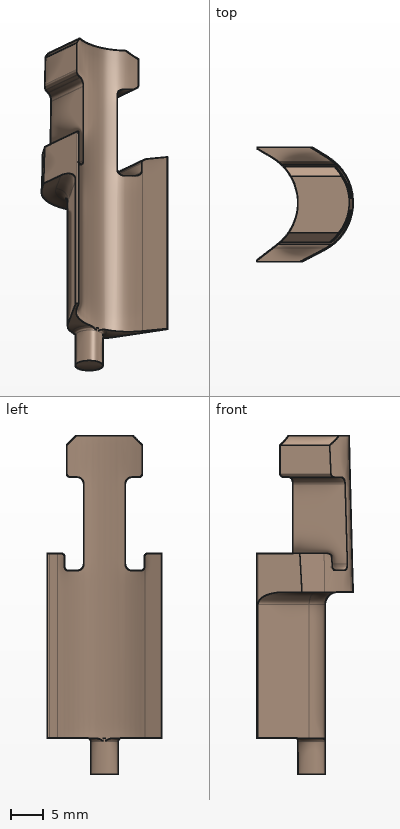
import cadquery as cq
import math

BODY_BOTTOM = 5.5
LEDGE_BOTTOM = 27.65
NOTCH_FLOOR = 30.95
SHOULDER_TOP = 33.55
HEAD_BOTTOM = 45.1
PART_TOP = 51.42

PART_WIDTH = 17.4
STEM_WIDTH = 6.35
NOTCH_OUTER_WIDTH = 12.1
HEAD_WIDTH = 11.5
HEAD_CHAMFER = 1.45

STEM_FILLET = 1.0
CORNER_RADIUS = 0.55

INNER_WALL = {"apex_x": 6.26, "center_y": 0.25, "radius": 8.0, "angle_pos": 59.6, "angle_neg": 52.5}
UPPER_WALL = {"apex_x": 14.68, "center_y": 0.3, "radius": 8.15, "angle_pos": 58.5, "angle_neg": 62.5}
LOWER_WALL = {"apex_x": 10.45, "center_y": 0.1, "radius": 5.0, "angle_pos": 60.0, "angle_neg": 60.0}
UPPER_DRAFT = 1.45
LEDGE_FILLET = 1.85
TIP_RADIUS = 0.15

PIN_DIAMETER = 4.2
PIN_FILLET = 0.5
PIN_X = LOWER_WALL["apex_x"] - PIN_DIAMETER / 2

BACK_X = -4.0
FRONT_X = 20.0

TIP_ZONE_X = 1.0
SELECT_GAP = 0.1


def wall_sketch(wall, z):
    """Closed outline at height z: the wall curve, shut by a straight side at BACK_X."""
    center_x = wall["apex_x"] - wall["radius"]

    def tangent_point(side, angle):
        return (
            center_x + wall["radius"] * math.cos(angle),
            wall["center_y"] + side * wall["radius"] * math.sin(angle),
        )

    def back_point(side, angle):
        x, y = tangent_point(side, angle)
        return (BACK_X, y + side * (x - BACK_X) / math.tan(angle))

    angle_pos = math.radians(wall["angle_pos"])
    angle_neg = math.radians(wall["angle_neg"])
    return (
        cq.Workplane("XY", origin=(0, 0, z))
        .moveTo(*back_point(-1, angle_neg))
        .lineTo(*tangent_point(-1, angle_neg))
        .threePointArc((wall["apex_x"], wall["center_y"]), tangent_point(1, angle_pos))
        .lineTo(*back_point(1, angle_pos))
        .close()
    )


def outer_form():
    """Drafted upper form overhanging the straight lower form, with a filleted ledge."""
    lower = wall_sketch(LOWER_WALL, BODY_BOTTOM).extrude(LEDGE_BOTTOM - BODY_BOTTOM)
    upper = wall_sketch(UPPER_WALL, LEDGE_BOTTOM).extrude(PART_TOP - LEDGE_BOTTOM, taper=UPPER_DRAFT)
    ledge_corner = cq.selectors.BoxSelector(
        (BACK_X + SELECT_GAP, -PART_WIDTH / 2, LEDGE_BOTTOM - SELECT_GAP),
        (LOWER_WALL["apex_x"], PART_WIDTH / 2, LEDGE_BOTTOM + SELECT_GAP),
    )
    return lower.union(upper).edges(ledge_corner).fillet(LEDGE_FILLET)


def x_bar(width, bottom, top):
    """Rectangular bar along X, centered on Y = 0."""
    return (
        cq.Workplane("XY", origin=(BACK_X, 0, bottom))
        .box(FRONT_X - BACK_X, width, top - bottom, centered=(False, True, False))
    )


def trough_blank():
    """Full-height bar of the part's width, hollowed by the inner wall, with rounded tips."""
    hollow = wall_sketch(INNER_WALL, BODY_BOTTOM).extrude(PART_TOP - BODY_BOTTOM)
    trough = x_bar(PART_WIDTH, BODY_BOTTOM, PART_TOP).cut(hollow)
    tip_zone = cq.selectors.BoxSelector(
        (BACK_X, -PART_WIDTH, BODY_BOTTOM),
        (TIP_ZONE_X, PART_WIDTH, PART_TOP),
    )
    return trough.edges("|Z").edges(tip_zone).fillet(TIP_RADIUS)


def round_corner_pair(prism, width, z, radius):
    """Fillet the two X-direction edges at Y = +-width/2 and height z."""
    for side in (-1, 1):
        corner = cq.selectors.NearestToPointSelector((0, side * width / 2, z))
        prism = prism.edges("|X").edges(corner).fillet(radius)
    return prism


def side_outline():
    """Prism along X: wide body, two notches, narrow stem and chamfered head."""
    head = x_bar(HEAD_WIDTH, HEAD_BOTTOM, PART_TOP).edges("|X and >Z").chamfer(HEAD_CHAMFER)
    notches = x_bar(NOTCH_OUTER_WIDTH, NOTCH_FLOOR, SHOULDER_TOP)
    prism = (
        x_bar(PART_WIDTH, BODY_BOTTOM, SHOULDER_TOP)
        .cut(notches)
        .union(x_bar(STEM_WIDTH, NOTCH_FLOOR, HEAD_BOTTOM))
        .union(head)
    )
    prism = round_corner_pair(prism, STEM_WIDTH, NOTCH_FLOOR, STEM_FILLET)
    prism = round_corner_pair(prism, STEM_WIDTH, HEAD_BOTTOM, STEM_FILLET)
    prism = round_corner_pair(prism, HEAD_WIDTH, HEAD_BOTTOM, CORNER_RADIUS)
    prism = round_corner_pair(prism, NOTCH_OUTER_WIDTH, NOTCH_FLOOR, CORNER_RADIUS)
    return round_corner_pair(prism, NOTCH_OUTER_WIDTH, SHOULDER_TOP, CORNER_RADIUS)


def pin():
    """Round pin with a flared root, the flare trimmed to the wall thickness above it."""
    radius = PIN_DIAMETER / 2
    flare_bottom = BODY_BOTTOM - PIN_FILLET
    bend = PIN_FILLET * math.sqrt(0.5)
    flare = (
        cq.Workplane("XZ")
        .moveTo(0, flare_bottom)
        .lineTo(radius, flare_bottom)
        .threePointArc(
            (radius + PIN_FILLET - bend, flare_bottom + bend),
            (radius + PIN_FILLET, BODY_BOTTOM),
        )
        .lineTo(0, BODY_BOTTOM)
        .close()
        .revolve(360, (0, 0), (0, 1))
        .translate((PIN_X, 0, 0))
        .intersect(wall_sketch(LOWER_WALL, flare_bottom).extrude(PIN_FILLET))
        .cut(wall_sketch(INNER_WALL, flare_bottom).extrude(PIN_FILLET))
    )
    shaft = cq.Workplane("XY").center(PIN_X, 0).circle(radius).extrude(BODY_BOTTOM)
    return shaft.union(flare)


body = outer_form().intersect(trough_blank()).intersect(side_outline())
result = body.union(pin())